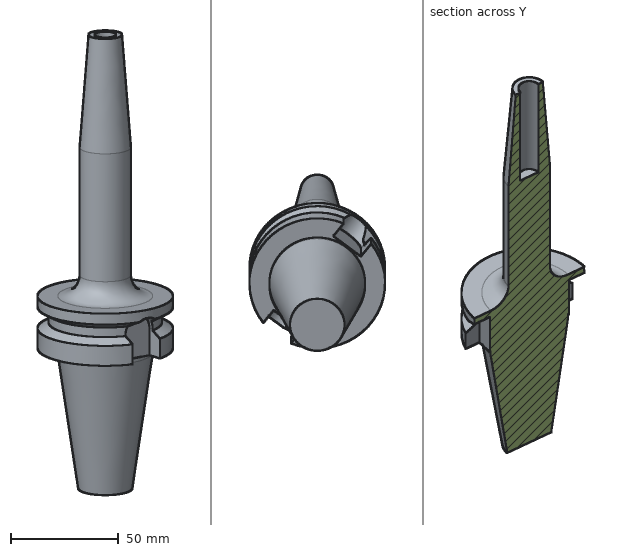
import cadquery as cq

total_length = 217.8
taper_length = 65.3
flange_bottom = 67.3
groove_lower_edge = 76.9
groove_floor_bottom = 79.7
groove_floor_top = 84.3
groove_upper_edge = 87.1
flange_top = 92.3
nose_length = 54.0

taper_small_radius = 12.6
gauge_radius = 22.2
flange_radius = 63.0 / 2
groove_radius = 26.4
neck_radius = 12.0
neck_fillet = 10.0
nose_tip_radius = 7.8

bore_diameter = 10.0
bore_depth = nose_length

slot_width = 16.1
slot_floor_offset = 22.7
slot_top = 88.5


def make_body():
    """Revolve the taper shank, grooved flange, neck and tapered nose."""
    arc_middle = neck_fillet * (1 - 0.5 ** 0.5)
    profile = (
        cq.Workplane("XZ")
        .lineTo(taper_small_radius, 0)
        .lineTo(gauge_radius, taper_length)
        .lineTo(gauge_radius, flange_bottom)
        .lineTo(flange_radius, flange_bottom)
        .lineTo(flange_radius, groove_lower_edge)
        .lineTo(groove_radius, groove_floor_bottom)
        .lineTo(groove_radius, groove_floor_top)
        .lineTo(flange_radius, groove_upper_edge)
        .lineTo(flange_radius, flange_top)
        .lineTo(neck_radius + neck_fillet, flange_top)
        .threePointArc(
            (neck_radius + arc_middle, flange_top + arc_middle),
            (neck_radius, flange_top + neck_fillet),
        )
        .lineTo(neck_radius, total_length - nose_length)
        .lineTo(nose_tip_radius, total_length)
        .lineTo(0, total_length)
        .close()
    )
    return profile.revolve(360, (0, 0, 0), (0, 1, 0))


def make_drive_slot():
    """Round-topped slot on the +X side, open at the underside of the flange."""
    half_width = slot_width / 2
    arc_center = slot_top - half_width
    return (
        cq.Workplane("YZ", origin=(slot_floor_offset, 0, 0))
        .moveTo(-half_width, flange_bottom)
        .lineTo(half_width, flange_bottom)
        .lineTo(half_width, arc_center)
        .threePointArc((0, slot_top), (-half_width, arc_center))
        .close()
        .extrude(flange_radius)
    )


result = make_body().faces(">Z").workplane().hole(bore_diameter, bore_depth)
for angle in (0, 180):
    result = result.cut(make_drive_slot().rotate((0, 0, 0), (0, 0, 1), angle))